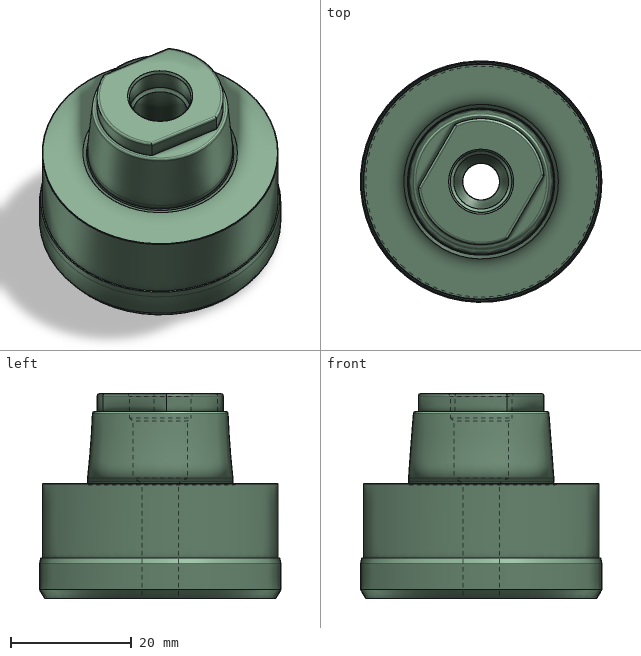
import cadquery as cq
import math

total_height = 33.95

flange_radius = 20.01
flange_chamfer_height = 1.5
flange_chamfer_angle = 30.0
flange_straight_top = 5.8
flange_top = 6.75
flange_top_radius = 19.8

body_radius = 19.55
body_top = 19.05
body_edge_chamfer = 0.1

groove_outer_radius = 12.8
groove_inner_radius = 12.2
groove_depth = 0.2

neck_foot_radius = 12.0
neck_band_bottom = 19.4
neck_taper_start = 20.0
neck_base_radius = 12.05
neck_top = 31.0
neck_top_radius = 11.22
neck_fillet = 0.4

boss_radius = 10.45
flat_distance = 8.5
flat_angle = 150.0
boss_fillet = 0.4

bore_mouth_radius = 5.38
bore_radius = 5.1
bore_mouth_depth = 0.48
bore_step_top = 29.9
lower_bore_radius = 4.54
bore_step_height = 0.45
through_radius = 3.03
lower_bore_bottom = neck_taper_start
bore_cone_angle = 59.0


def revolve(points):
    """Turn a closed outline of (radius, height) points about Z."""
    return cq.Workplane("XZ").polyline(points).close().revolve(360, (0, 0, 0), (0, 1, 0))


def make_base():
    """Flange and body, up to the foot of the neck."""
    chamfer_width = flange_chamfer_height * math.tan(math.radians(flange_chamfer_angle))
    groove_bottom = body_top - groove_depth
    return revolve([
        (0, 0),
        (flange_radius - chamfer_width, 0),
        (flange_radius, flange_chamfer_height),
        (flange_radius, flange_straight_top),
        (flange_top_radius, flange_top),
        (body_radius, flange_top),
        (body_radius, body_top - body_edge_chamfer),
        (body_radius - body_edge_chamfer, body_top),
        (groove_outer_radius, body_top),
        (groove_inner_radius, groove_bottom),
        (0, groove_bottom),
    ])


def make_neck():
    """Tapered neck rising from the bottom of the groove."""
    neck = revolve([
        (0, body_top - groove_depth),
        (groove_inner_radius, body_top - groove_depth),
        (neck_foot_radius, body_top),
        (neck_base_radius, neck_band_bottom),
        (neck_base_radius, neck_taper_start),
        (neck_top_radius, neck_top),
        (0, neck_top),
    ])
    return neck.faces(">Z").edges().fillet(neck_fillet)


def make_boss():
    """Round boss cut by two parallel flats, with a rounded top edge."""
    boss_height = total_height - neck_top
    boss = cq.Workplane("XY").circle(boss_radius).extrude(boss_height)
    slab = cq.Workplane("XY").rect(2 * flat_distance, 2 * boss_radius).extrude(boss_height)
    boss = boss.intersect(slab).faces(">Z").edges().fillet(boss_fillet)
    return boss.rotate((0, 0, 0), (0, 0, 1), flat_angle).translate((0, 0, neck_top))


def make_bore():
    """Cutter for the stepped bore, with a drill-point cone down to the through hole."""
    cone_height = (lower_bore_radius - through_radius) / math.tan(math.radians(bore_cone_angle))
    return revolve([
        (0, 0),
        (through_radius, 0),
        (through_radius, lower_bore_bottom - cone_height),
        (lower_bore_radius, lower_bore_bottom),
        (lower_bore_radius, bore_step_top - bore_step_height),
        (bore_radius, bore_step_top),
        (bore_radius, total_height - bore_mouth_depth),
        (bore_mouth_radius, total_height),
        (0, total_height),
    ])


result = make_base().union(make_neck()).union(make_boss()).cut(make_bore())